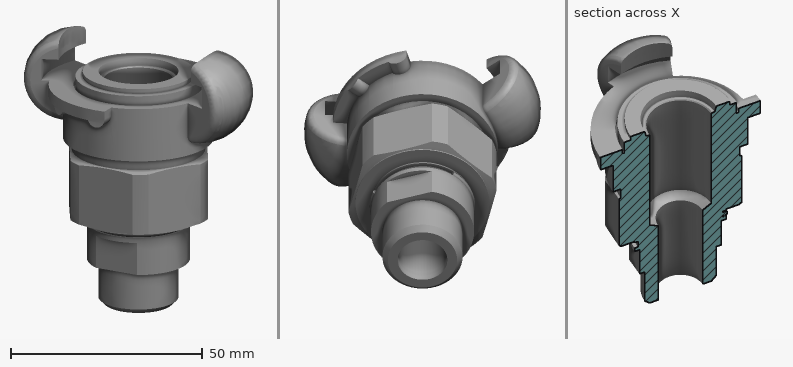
import cadquery as cq
import math

stem_top = 12.0
groove_bottom = 22.3
groove_top = 24.1
nut_bottom = 24.5
nut_top = 42.4
head_bottom = 45.6
head_top = 60.05
ring_top = 62.5
seal_top = 63.8

stem_diameter = 21.0
stem_chamfer = 1.45
collar_diameter = 27.0
groove_diameter = 25.0
neck_diameter = 35.0
head_diameter = 39.55
ring_diameter = 33.0
ring_clearance_diameter = 34.0
ring_clearance_depth = 1.45
seal_diameter = 29.2

collar_flats_width = 24.0
collar_flats_top = 20.85

snap_ring_radius = 12.95
snap_ring_wire_radius = 0.85
snap_ring_gap_angle = 106

nut_across_flats = 36.0
nut_corner_diameter = 39.4
nut_bottom_face_diameter = 33.0
nut_bottom_chamfer_height = 0.9
nut_top_chamfer_height = 0.6

bore_diameter = 18.0
bore_chamfer = 0.3
bore_cone_top = 28.75
bore_cone_height = 1.45
outlet_diameter = 13.0
mouth_diameter = 20.9
mouth_floor_diameter = 20.0
mouth_depth = 1.9

lug_radius = 23.5
lug_thickness = 3.15
bump_radius = 2.5
bump_axis_depth = 2.2
bump_spacing_angle = 35

claw_half_angle = 21
claw_reach = 31.5
claw_radius = 12.0
claw_crown_radius = 18.7
claw_fillet = 1.9
claw_wedge_length = 43.15
claw_root_diameter = 31.0
slot_outer_radius = 25.6
slot_roof = 65.95
lip_inner_radius = 21.1
total_height = 71.9


def disc(diameter, bottom, top):
    """Cylinder on the Z axis between two levels, with its seam at +Y, clear of the claws."""
    cylinder = cq.Workplane("XY").workplane(offset=bottom).circle(diameter / 2).extrude(top - bottom)
    return cylinder.rotate((0, 0, 0), (0, 0, 1), 90)


def wedge(half_angle, radius, bottom, top):
    """Triangular block with its tip on the Z axis, centred on the -X direction."""
    half_width = radius * math.tan(math.radians(half_angle))
    outline = cq.Workplane("XY").workplane(offset=bottom)
    outline = outline.polyline([(0, 0), (-radius, half_width), (-radius, -half_width)]).close()
    return outline.extrude(top - bottom)


def make_turned_body():
    stem = disc(stem_diameter, 0, stem_top).faces("<Z").chamfer(stem_chamfer)
    collar = disc(collar_diameter, stem_top, groove_bottom)
    flats = cq.Workplane("XY").box(
        collar_diameter, collar_flats_width, collar_flats_top - stem_top, centered=(True, True, False)
    )
    flats = flats.translate((0, 0, stem_top))
    collar = collar.intersect(flats.union(disc(collar_diameter, collar_flats_top, groove_bottom)))
    body = stem.union(collar)
    body = body.union(disc(groove_diameter, groove_bottom, groove_top))
    body = body.union(disc(collar_diameter, groove_top, nut_bottom))
    body = body.union(disc(neck_diameter, nut_bottom, head_bottom))
    body = body.union(disc(head_diameter, head_bottom, head_top))
    return body


def make_face_rings():
    """Raised ring and seal that stand in a clearance recess in the head face."""
    recess_floor = head_top - ring_clearance_depth
    ring = disc(ring_diameter, recess_floor, ring_top)
    return ring.union(disc(seal_diameter, ring_top, seal_top))


def make_snap_ring():
    sweep_angle = 360 - snap_ring_gap_angle
    ring_level = (groove_bottom + groove_top) / 2
    ring = cq.Workplane("XZ").center(snap_ring_radius, ring_level).circle(snap_ring_wire_radius)
    ring = ring.revolve(sweep_angle, (-snap_ring_radius, 0), (-snap_ring_radius, 1))
    return ring.rotate((0, 0, 0), (0, 0, 1), 90 + snap_ring_gap_angle / 2)


def make_nut():
    """Hexagon turned to a corner diameter, with conical faces at both ends."""
    hexagon = cq.Workplane("XY").workplane(offset=nut_bottom)
    hexagon = hexagon.polygon(6, nut_across_flats, circumscribed=True).extrude(nut_top - nut_bottom)
    hexagon = hexagon.rotate((0, 0, 0), (0, 0, 1), 30)
    corner_radius = nut_corner_diameter / 2
    turned = (
        cq.Workplane("XZ")
        .moveTo(0, nut_bottom)
        .lineTo(nut_bottom_face_diameter / 2, nut_bottom)
        .lineTo(corner_radius, nut_bottom + nut_bottom_chamfer_height)
        .lineTo(corner_radius, nut_top - nut_top_chamfer_height)
        .lineTo(neck_diameter / 2, nut_top)
        .lineTo(0, nut_top)
        .close()
        .revolve(360, (0, 0), (0, 1))
    )
    return hexagon.intersect(turned)


def make_lug():
    """Quarter flange from the claw at -X to a square end just past -Y, with two bumps below."""
    lug_bottom = head_top - lug_thickness
    bump_axis = head_top - bump_axis_depth
    bump_bottom = bump_axis - bump_radius
    blank_length = lug_radius + bump_radius
    lug = cq.Workplane("XY").workplane(offset=lug_bottom)
    lug = lug.rect(blank_length, blank_length, centered=False).extrude(lug_thickness)
    lug = lug.rotate((0, 0, 0), (0, 0, 1), 180)
    bump = (
        cq.Workplane("XZ")
        .moveTo(-bump_radius, head_top)
        .lineTo(-bump_radius, bump_axis)
        .threePointArc((0, bump_bottom), (bump_radius, bump_axis))
        .lineTo(bump_radius, head_top)
        .close()
        .extrude(blank_length)
    )
    for angle in (0, -bump_spacing_angle):
        lug = lug.union(bump.rotate((0, 0, 0), (0, 0, 1), angle))
    return lug.intersect(disc(2 * lug_radius, bump_bottom, head_top))


def make_claw():
    """Crowned round hook on the -X side, slotted to take the lug of the mating half."""
    axis_x = claw_radius - claw_reach
    axis_z = total_height - math.sqrt(claw_radius**2 - (lip_inner_radius + axis_x) ** 2)
    half_width = claw_reach * math.tan(math.radians(claw_half_angle))
    edge_radius = claw_radius - claw_crown_radius + math.sqrt(claw_crown_radius**2 - half_width**2)
    crowned = (
        cq.Workplane("XY", origin=(axis_x, 0, axis_z))
        .moveTo(0, -half_width)
        .lineTo(edge_radius, -half_width)
        .threePointArc((claw_radius, 0), (edge_radius, half_width))
        .lineTo(0, half_width)
        .close()
        .revolve(360, (0, 0), (0, 1))
    )
    claw = crowned.intersect(wedge(claw_half_angle, claw_wedge_length, 0, total_height))
    claw = claw.faces("%PLANE").edges().fillet(claw_fillet)
    claw = claw.cut(disc(2 * slot_outer_radius, head_top, slot_roof))
    claw = claw.cut(disc(2 * lip_inner_radius, slot_roof, total_height))
    return claw.cut(disc(claw_root_diameter, 0, total_height))


def make_bore():
    bore_radius = bore_diameter / 2
    mouth_floor = seal_top - mouth_depth
    cone_bottom = bore_cone_top - bore_cone_height
    return (
        cq.Workplane("XZ")
        .lineTo(outlet_diameter / 2, 0)
        .lineTo(outlet_diameter / 2, cone_bottom)
        .lineTo(bore_radius, bore_cone_top)
        .lineTo(bore_radius, mouth_floor - bore_chamfer)
        .lineTo(bore_radius + bore_chamfer, mouth_floor)
        .lineTo(mouth_floor_diameter / 2, mouth_floor)
        .lineTo(mouth_diameter / 2, seal_top)
        .lineTo(0, seal_top)
        .close()
        .revolve(360, (0, 0), (0, 1))
    )


result = make_turned_body().union(make_nut()).union(make_snap_ring())
for make_feature in (make_claw, make_lug):
    for turn in (0, 180):
        result = result.union(make_feature().rotate((0, 0, 0), (0, 0, 1), turn))
result = result.cut(disc(ring_clearance_diameter, head_top - ring_clearance_depth, head_top))
result = result.union(make_face_rings()).cut(make_bore())